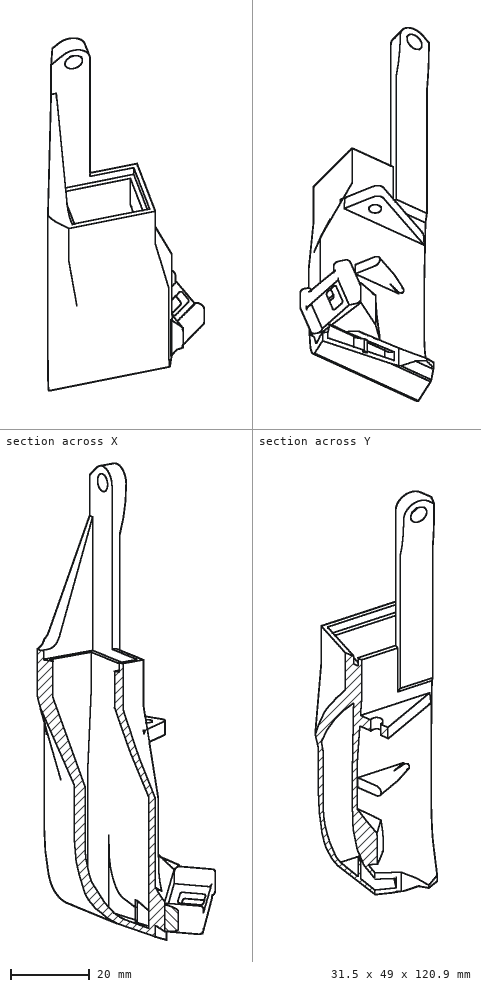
import cadquery as cq
import math

DUCT_YAW = 25.5
MATING_YAW = 45.0
MATING_OFFSET = 17.8
BODY_DEPTH = 30.1

TOP_Z = 120.9
RIM_Z = 73.5
SOCKET_BASE_Z = 61.4
LOWER_DUCT_Z = 39.2
BEND_Z = 24.8

WALL = 2.4
LEDGE = 1.2
LEDGE_DEPTH = 2.4
UPPER_LEFT, UPPER_RIGHT = -2.3, 15.2
UPPER_FRONT, UPPER_BACK = -18.3, 4.6
UPPER_CORNER_A = 10.2

LOWER_LEFT, LOWER_RIGHT = -1.0, 10.2
LOWER_KINK_B = -14.8
FRONT_WALL = 1.9
SKIN = 1.5

MOUTH_BACK_A, MOUTH_TIP_A = -3.0, -10.2
MOUTH_EDGE = [(-7.5, -6.3), (-9.4, -9.5), (-11.5, -12.1)]
PASSAGE_LEFT = -9.7
PASSAGE_FRONT_B, PASSAGE_THROAT_B = -4.2, -7.3

LEVER_LEFT = -3.5
LEVER_FOOT_A = -1.8
LEVER_RIGHT = UPPER_LEFT + LEDGE
LEVER_FOOT_Z = 58.9
LEVER_TOP_Z = 103.6
HUB_LEFT = -5.5
HUB_BASE_Z = 109.7
HUB_RADIUS = 4.4
HUB_B, HUB_Z = -12.5, TOP_Z - HUB_RADIUS
HUB_HOLE_DIA = 4.6
HUB_FLAT_ANGLE = 130.0
GUSSET_TOP_Z = 106.4
GUSSET_FOOT_A, GUSSET_FOOT_Z = 9.0, 76.7
GUSSET_RADIUS_END_A = 12.7

BRACKET_LEFT, BRACKET_BACK = -9.3, 6.8
BRACKET_FRONT, BRACKET_RIGHT = -15.7, 2.4
BRACKET_BASE_Z, BRACKET_THICKNESS = 52.0, 3.6
BRACKET_CORNER_RADIUS = 1.8
BRACKET_HOLE_X, BRACKET_HOLE_Y = -5.5, 2.7
SMALL_DIA = 3.1
PIN_X, PIN_BACK, PIN_FRONT, PIN_Z = -5.5, 2.9, -10.2, 33.6
PIN_SHOULDER, PIN_TIP_DIA = -5.0, 1.9

ARM_YAW = 13.8
HEAD_T, HEAD_LENGTH = 13.0, 9.8
HEAD_LEFT, HEAD_RIGHT = -3.6, 9.8
HIGH_BAR_RIGHT, HIGH_BAR_BASE, HIGH_BAR_TOP = 0.8, 11.9, 18.6
LOW_BAR_LEFT, LOW_BAR_BASE, LOW_BAR_TOP = 6.7, 4.4, 11.6
WEB_HIGH_Z, WEB_LOW_Z = 16.0, 9.2
BAR_FILLET = 1.3
END_FILLET = 0.6
SLOT_S, SLOT_Z, SLOT_WIDTH = 2.2, 10.4, 3.4
SLOT_REACH = 6.0
SLOT_LENGTH, SLOT_END_WALL = 6.8, 0.7
FLARE_ROOT_A = 2.8
RIDGE_X, RIDGE_Y, RIDGE_YAW = -6.4, 4.1, 33.0

VANE_B, VANE_THICKNESS = 3.4, 1.0

FAR = 72.5

duct_cos = math.cos(math.radians(DUCT_YAW))
duct_sin = math.sin(math.radians(DUCT_YAW))
across = cq.Vector(duct_cos, -duct_sin, 0)
along = cq.Vector(duct_sin, duct_cos, 0)
up = cq.Vector(0, 0, 1)
arm_across = cq.Vector(math.cos(math.radians(ARM_YAW)), math.sin(math.radians(ARM_YAW)), 0)
arm_along = cq.Vector(-math.sin(math.radians(ARM_YAW)), math.cos(math.radians(ARM_YAW)), 0)


def duct_plan(z):
    """Workplane with a and b as its axes, facing up."""
    return cq.Workplane(cq.Plane(up * z, across, up))


def duct_profile(b=FAR):
    """Workplane with a and Z as its axes, facing -b."""
    return cq.Workplane(cq.Plane(along * b, across, along * -1))


def duct_side(a):
    """Workplane with b and Z as its axes, facing +a."""
    return cq.Workplane(cq.Plane(across * a, along, across))


def arm_section(t):
    """Workplane with s and Z as its axes, facing back along the arm."""
    return cq.Workplane(cq.Plane(arm_along * t, arm_across, arm_along * -1))


skew = math.radians(MATING_YAW - DUCT_YAW)


def front_b(a, inset=0.0):
    """b of a line parallel to the mating face, a given distance inside it."""
    return (inset - MATING_OFFSET - a * math.sin(skew)) / math.cos(skew)


def back_b(a, inset=0.0):
    return front_b(a, BODY_DEPTH - inset)


def loft(*outlines):
    """Straight-sided solid through the outlines, in order."""
    return cq.Workplane(cq.Solid.makeLoft([outline.wires().val() for outline in outlines], True))


def behind_mating_face():
    """Everything on the body side of the mating face."""
    outline = [(-FAR, front_b(-FAR)), (FAR, front_b(FAR)), (FAR, FAR), (-FAR, FAR)]
    return duct_plan(-FAR).polyline(outline).close().extrude(FAR + TOP_Z + FAR)


def upper_outline(z):
    return duct_plan(z).polyline([
        (UPPER_LEFT, front_b(UPPER_LEFT)),
        (UPPER_CORNER_A, front_b(UPPER_CORNER_A)),
        (UPPER_RIGHT, UPPER_FRONT),
        (UPPER_RIGHT, UPPER_BACK),
        (UPPER_LEFT, UPPER_BACK),
    ]).close()


def lower_outline(z):
    return duct_plan(z).polyline([
        (LOWER_LEFT, front_b(LOWER_LEFT)),
        (LOWER_RIGHT, front_b(LOWER_RIGHT)),
        (LOWER_RIGHT, LOWER_KINK_B),
        (LOWER_RIGHT, back_b(LOWER_RIGHT)),
        (LOWER_LEFT, back_b(LOWER_LEFT)),
    ]).close()


def scoop():
    """Lower duct, curving round to the open mouth on its left."""
    profile = (
        duct_profile()
        .moveTo(LOWER_LEFT, LOWER_DUCT_Z)
        .lineTo(LOWER_RIGHT, LOWER_DUCT_Z)
        .lineTo(LOWER_RIGHT, BEND_Z)
        .spline([(9.3, 13.8), (7.7, 8.0), (4.6, 4.4)],
                tangents=[(0, -1), (-1, -0.6)], includeCurrent=True)
        .lineTo(-7.0, 0)
        .lineTo(-7.7, 0)
        .lineTo(-9.7, 1.8)
        .lineTo(-12.7, 1.5)
        .lineTo(-4.1, 9.1)
        .spline([(-2.2, 13.0), (LOWER_LEFT, BEND_Z)], tangents=[(1, 1), (0, 1)], includeCurrent=True)
        .close()
        .extrude(2 * FAR)
    )
    plan = duct_plan(-1.2).polyline([
        (LOWER_RIGHT, front_b(LOWER_RIGHT)),
        (LOWER_RIGHT, back_b(LOWER_RIGHT)),
        (MOUTH_BACK_A, back_b(MOUTH_BACK_A)),
        *MOUTH_EDGE,
        (MOUTH_TIP_A, front_b(MOUTH_TIP_A)),
    ]).close().extrude(FAR)
    return profile.intersect(plan)


def scoop_passage():
    """Air passage through the scoop, open only at the mouth."""
    left, right = LOWER_LEFT + SKIN, LOWER_RIGHT - SKIN
    profile = (
        duct_profile()
        .moveTo(left, LOWER_DUCT_Z)
        .lineTo(right, LOWER_DUCT_Z)
        .lineTo(right, BEND_Z)
        .spline([(7.9, 14.3), (6.2, 9.3), (3.7, 5.9)],
                tangents=[(0, -1), (-1, -0.6)], includeCurrent=True)
        .lineTo(PASSAGE_LEFT, 0.4)
        .lineTo(PASSAGE_LEFT, 2.2)
        .lineTo(-3.1, 7.9)
        .spline([(-0.8, 12.3), (left, BEND_Z)], tangents=[(1, 1), (0, 1)], includeCurrent=True)
        .close()
        .extrude(2 * FAR)
    )
    plan = duct_plan(-1.2).polyline([
        (left, front_b(left, FRONT_WALL)),
        (right, front_b(right, FRONT_WALL)),
        (right, back_b(right, SKIN)),
        (PASSAGE_LEFT, back_b(PASSAGE_LEFT, SKIN)),
        (PASSAGE_LEFT, PASSAGE_FRONT_B),
        (left, PASSAGE_THROAT_B),
    ]).close().extrude(FAR)
    return profile.intersect(plan)


def mouth_vane():
    """Thin wall that divides the mouth."""
    return duct_profile(VANE_B).polyline([
        (-6.0, 1.2), (-1.2, 3.0), (-1.2, 9.7), (-6.0, 5.5),
    ]).close().extrude(VANE_THICKNESS)


def socket_and_passage():
    """Stepped socket at the rim and the narrowing passage below it."""
    def opening(z):
        return duct_plan(z).polyline([
            (UPPER_LEFT + WALL, UPPER_FRONT + WALL),
            (UPPER_RIGHT - WALL, UPPER_FRONT + WALL),
            (UPPER_RIGHT - WALL, UPPER_BACK - WALL),
            (UPPER_LEFT + WALL, UPPER_BACK - WALL),
        ]).close()

    left, right = LOWER_LEFT + SKIN, LOWER_RIGHT - SKIN
    narrow = duct_plan(LOWER_DUCT_Z).polyline([
        (left, front_b(left, FRONT_WALL)),
        (right, front_b(right, FRONT_WALL)),
        (right, back_b(right, SKIN)),
        (left, back_b(left, SKIN)),
    ]).close()
    ledge = duct_plan(RIM_Z).moveTo(UPPER_LEFT + LEDGE, UPPER_FRONT + LEDGE).rect(
        UPPER_RIGHT - UPPER_LEFT - 2 * LEDGE, UPPER_BACK - UPPER_FRONT - 2 * LEDGE, centered=False
    ).extrude(-LEDGE_DEPTH)
    straight = opening(SOCKET_BASE_Z).extrude(RIM_Z - SOCKET_BASE_Z)
    return straight.union(ledge).union(loft(narrow, opening(SOCKET_BASE_Z)))


def lever():
    """Upright strip with a thicker drilled hub at its top."""
    thickness = (
        duct_profile()
        .moveTo(LEVER_RIGHT, LEVER_FOOT_Z)
        .lineTo(LEVER_FOOT_A, LEVER_FOOT_Z)
        .lineTo(LEVER_LEFT, SOCKET_BASE_Z)
        .lineTo(LEVER_LEFT, LEVER_TOP_Z)
        .spline([(HUB_LEFT, HUB_Z)], tangents=[(HUB_LEFT - LEVER_LEFT, HUB_BASE_Z - LEVER_TOP_Z), (0, 1)],
                includeCurrent=True)
        .lineTo(HUB_LEFT, TOP_Z)
        .lineTo(LEVER_RIGHT, TOP_Z)
        .close()
        .extrude(2 * FAR)
    )
    turn = math.radians(HUB_FLAT_ANGLE)
    flat_b = HUB_B + HUB_RADIUS * math.cos(turn)
    flat_z = HUB_Z + HUB_RADIUS * math.sin(turn)
    flat_run = 12.1
    outline = (
        duct_side(HUB_LEFT)
        .moveTo(flat_b - flat_run, LEVER_FOOT_Z)
        .lineTo(HUB_B + HUB_RADIUS, LEVER_FOOT_Z)
        .lineTo(HUB_B + HUB_RADIUS, HUB_Z)
        .threePointArc((HUB_B, TOP_Z), (flat_b, flat_z))
        .lineTo(flat_b - flat_run, flat_z + flat_run / math.tan(turn))
        .close()
        .extrude(FAR)
    )
    hole = duct_side(-FAR).center(HUB_B, HUB_Z).circle(HUB_HOLE_DIA / 2).extrude(2 * FAR)
    return thickness.intersect(outline).cut(hole)


def gusset():
    """Sloping web on the mating face between the lever and the rim."""
    profile = (
        duct_profile()
        .moveTo(LEVER_LEFT, SOCKET_BASE_Z)
        .lineTo(LEVER_LEFT, GUSSET_TOP_Z)
        .lineTo(LEVER_RIGHT, GUSSET_TOP_Z)
        .lineTo(GUSSET_FOOT_A, GUSSET_FOOT_Z)
        .spline([(GUSSET_RADIUS_END_A, RIM_Z)],
                tangents=[(GUSSET_FOOT_A - LEVER_RIGHT, GUSSET_FOOT_Z - GUSSET_TOP_Z), (1, 0)],
                includeCurrent=True)
        .lineTo(GUSSET_RADIUS_END_A, SOCKET_BASE_Z)
        .close()
        .extrude(2 * FAR)
    )
    footprint = duct_plan(SOCKET_BASE_Z).polyline([
        (LEVER_LEFT, UPPER_FRONT + LEDGE),
        (LEVER_LEFT, front_b(LEVER_LEFT)),
        (UPPER_CORNER_A, front_b(UPPER_CORNER_A)),
        (UPPER_RIGHT, UPPER_FRONT),
        (UPPER_RIGHT, UPPER_FRONT + LEDGE),
    ]).close().extrude(FAR)
    return profile.intersect(footprint)


def bracket():
    """Drilled three-cornered shelf on the lever side."""
    plate = cq.Workplane("XY").workplane(offset=BRACKET_BASE_Z).polyline([
        (BRACKET_LEFT, BRACKET_FRONT), (BRACKET_RIGHT, BRACKET_BACK), (BRACKET_LEFT, BRACKET_BACK),
    ]).close().extrude(BRACKET_THICKNESS)
    plate = plate.edges("|Z and <X and >Y").fillet(BRACKET_CORNER_RADIUS)
    hole = cq.Workplane("XY").center(BRACKET_HOLE_X, BRACKET_HOLE_Y).circle(SMALL_DIA / 2).extrude(FAR)
    return plate.cut(hole)


def side_pin():
    """Tapered pin along Y with a web that joins it to the duct wall."""
    length = PIN_BACK - PIN_FRONT
    radius = SMALL_DIA / 2
    pin = cq.Workplane("XY", (PIN_X, 0, PIN_Z)).polyline([
        (0, PIN_BACK), (radius, PIN_BACK), (radius, PIN_SHOULDER),
        (PIN_TIP_DIA / 2, PIN_FRONT), (0, PIN_FRONT),
    ]).close().revolve(360, (0, 0), (0, 1))
    web = cq.Workplane("XY").workplane(offset=PIN_Z - radius).polyline([
        (PIN_X, PIN_FRONT), (PIN_X, PIN_BACK), (PIN_X + length / 2, PIN_BACK),
    ]).close().extrude(SMALL_DIA)
    return pin.union(web)


def flare():
    """Solid foot that spreads from the clip head onto the duct wall."""
    tip = arm_section(HEAD_T).polyline([
        (HEAD_LEFT, HIGH_BAR_TOP), (HIGH_BAR_RIGHT, HIGH_BAR_TOP), (HEAD_RIGHT, LOW_BAR_TOP),
        (HEAD_RIGHT, LOW_BAR_BASE), (LOW_BAR_LEFT, LOW_BAR_BASE), (HEAD_LEFT, HIGH_BAR_BASE),
    ]).close()
    turn = math.radians(RIDGE_YAW)
    ridge_frame = cq.Plane(
        (RIDGE_X, RIDGE_Y, 0), (math.cos(turn), math.sin(turn), 0), (math.sin(turn), -math.cos(turn), 0))
    ridge = cq.Workplane(ridge_frame).polyline([
        (0, 20.5), (2.4, 22.3), (15.6, 15.1), (15.6, 5.5), (8.5, 6.0), (0, 10.4),
    ]).close()
    root = duct_side(FLARE_ROOT_A).polyline([
        (-6.8, 18.6), (3.9, 28.4), (12.3, 19.0), (12.3, 6.0), (-2.4, 5.5), (-9.1, 11.5),
    ]).close()
    return loft(root, ridge, tip)


def make_housing():
    body = upper_outline(SOCKET_BASE_Z).extrude(RIM_Z - SOCKET_BASE_Z)
    body = body.union(loft(lower_outline(LOWER_DUCT_Z), upper_outline(SOCKET_BASE_Z)))
    for piece in (scoop(), lever(), gusset(), bracket(), side_pin(), flare()):
        body = body.union(piece)
    body = body.cut(socket_and_passage()).cut(scoop_passage()).union(mouth_vane())
    return body.intersect(behind_mating_face())


def head_bar(left, right, base, top):
    bar = arm_section(HEAD_T).moveTo(left, base).rect(right - left, top - base, centered=False)
    bar = bar.extrude(-HEAD_LENGTH)
    bar = bar.edges(cq.selectors.ParallelDirSelector(arm_along)).fillet(BAR_FILLET)
    return bar.faces(cq.selectors.DirectionMinMaxSelector(arm_along)).edges().fillet(END_FILLET)


def head_slot():
    """Slot square through the sloping web."""
    slope = cq.Vector(arm_across.x, arm_across.y, -1).normalized()
    square_to_web = arm_along.cross(slope)
    middle_t = HEAD_T + HEAD_LENGTH - SLOT_END_WALL - SLOT_LENGTH / 2
    centre = arm_across * SLOT_S + arm_along * middle_t + up * SLOT_Z
    slot = cq.Workplane(cq.Plane(centre, arm_along, square_to_web)).rect(SLOT_LENGTH, SLOT_WIDTH)
    slot = slot.extrude(SLOT_REACH, both=True)
    return slot.edges(cq.selectors.ParallelDirSelector(square_to_web)).fillet(END_FILLET)


def make_clip_head():
    """Two rounded bars joined by a slotted sloping web."""
    high_bar = head_bar(HEAD_LEFT, HIGH_BAR_RIGHT, HIGH_BAR_BASE, HIGH_BAR_TOP)
    low_bar = head_bar(LOW_BAR_LEFT, HEAD_RIGHT, LOW_BAR_BASE, LOW_BAR_TOP)
    web = arm_section(HEAD_T).polyline([
        (HIGH_BAR_RIGHT - BAR_FILLET, WEB_HIGH_Z),
        (LOW_BAR_LEFT + BAR_FILLET, WEB_LOW_Z),
        (LOW_BAR_LEFT + BAR_FILLET, LOW_BAR_BASE),
        (HIGH_BAR_RIGHT - BAR_FILLET, HIGH_BAR_BASE),
    ]).close().extrude(-HEAD_LENGTH)
    return high_bar.union(low_bar).union(web).cut(head_slot())


housing = make_housing()
clip_head = make_clip_head()
result = cq.Compound.makeCompound([housing.val(), clip_head.val()])